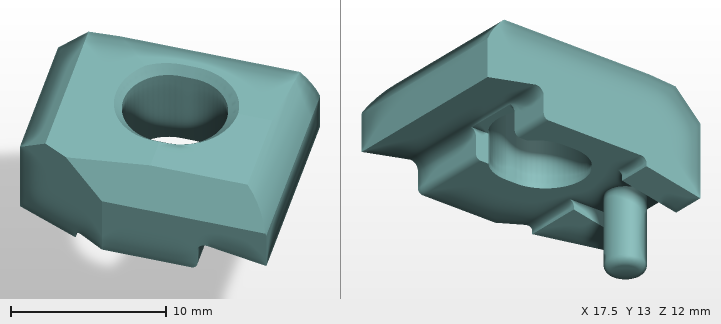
import cadquery as cq
import math

length = 17.5
width = 13.0
top_z = 6.5
edge_chamfer = 2.03
roof_slope = math.tan(math.radians(4))

centre_x = 9.19
centre_y = 8.0

heel_z = -1.5
heel_length = 4.43
heel_fillet = 0.4
step_x = 12.88
step_fillet = 0.4
notch_fillet = 0.6
nose_z = 1.49
underside_slope = math.tan(math.radians(11))

nose_start_x = 15.68
nose_end_z = 4.3
nose_radius = 5.0

corner_length = 6.51
corner_width = corner_length * math.tan(math.radians(30))

hole_width = 6.0
hole_centres = 0.88
rim_width = 0.77
rim_depth = 0.79

heel_channel_width = 5.0
nose_channel_width = 4.0
nose_channel_z = 2.2

pin_x = 2.19
pin_diameter = 2.8
pin_bottom_z = -5.51
pin_fillet = 0.5

margin = 1.75


def make_profile_body():
    """Side profile in XZ, extruded across the full width."""
    roof_left_z = top_z - roof_slope * (centre_x - edge_chamfer)
    heel_end_z = heel_z + underside_slope * heel_length
    notch_z = nose_z + underside_slope * (length - step_x)
    body = (
        cq.Workplane("XZ")
        .moveTo(0, heel_z)
        .lineTo(heel_length, heel_end_z)
        .lineTo(heel_length, 0)
        .lineTo(step_x, 0)
        .lineTo(step_x, notch_z)
        .lineTo(length, nose_z)
        .lineTo(length, nose_end_z)
        .radiusArc((nose_start_x, top_z), -nose_radius)
        .lineTo(centre_x, top_z)
        .lineTo(edge_chamfer, roof_left_z)
        .lineTo(0, roof_left_z - edge_chamfer)
        .close()
        .extrude(-width)
    )
    corners = (
        (heel_length, 0, heel_fillet),
        (step_x, 0, step_fillet),
        (step_x, notch_z, notch_fillet),
    )
    for x, z, radius in corners:
        edge = cq.selectors.NearestToPointSelector((x, width / 2, z))
        body = body.edges(edge).fillet(radius)
    return body


def make_cross_section():
    """YZ outline holding the front chamfer and the roof slope towards the back."""
    floor_z = heel_z - margin
    back_z = top_z - roof_slope * (width - centre_y)
    return (
        cq.Workplane("YZ")
        .moveTo(0, floor_z)
        .lineTo(width, floor_z)
        .lineTo(width, back_z)
        .lineTo(centre_y, top_z)
        .lineTo(edge_chamfer, top_z)
        .lineTo(0, top_z - edge_chamfer)
        .close()
        .extrude(length)
    )


def make_corner_cut():
    """Triangular prism removed from the front left corner."""
    return (
        cq.Workplane("XY", origin=(0, 0, heel_z - margin))
        .polyline([(0, 0), (corner_length, 0), (0, corner_width)])
        .close()
        .extrude(top_z - heel_z + 2 * margin)
    )


def make_hole():
    """Slotted through hole with its tapered rim."""
    slot_length = hole_width + hole_centres
    hole = (
        cq.Workplane("XY", origin=(centre_x, centre_y, heel_z - margin))
        .slot2D(slot_length, hole_width)
        .extrude(top_z - heel_z + 2 * margin)
    )
    rim_angle = math.degrees(math.atan2(rim_width, rim_depth))
    rim = (
        cq.Workplane("XY", origin=(centre_x, centre_y, top_z))
        .slot2D(slot_length + 2 * rim_width, hole_width + 2 * rim_width)
        .extrude(-rim_depth, taper=rim_angle)
    )
    return hole.union(rim)


def make_channel(start_x, end_x, size_y, ceiling_z):
    """Straight channel along X, open downwards."""
    floor_z = heel_z - margin
    return (
        cq.Workplane("XY", origin=((start_x + end_x) / 2, centre_y, floor_z))
        .rect(end_x - start_x, size_y)
        .extrude(ceiling_z - floor_z)
    )


def make_pin():
    """Locating pin with a rounded tip, standing on the channel ceiling."""
    return (
        cq.Workplane("XY", origin=(pin_x, centre_y, 0))
        .circle(pin_diameter / 2)
        .extrude(pin_bottom_z)
        .faces("<Z")
        .edges()
        .fillet(pin_fillet)
    )


result = make_profile_body().intersect(make_cross_section())
result = result.cut(make_corner_cut())
result = result.cut(make_channel(0, centre_x, heel_channel_width, 0))
nose_channel_end = step_x + notch_fillet
result = result.cut(make_channel(centre_x, nose_channel_end, nose_channel_width, nose_channel_z))
result = result.cut(make_hole())
result = result.union(make_pin())